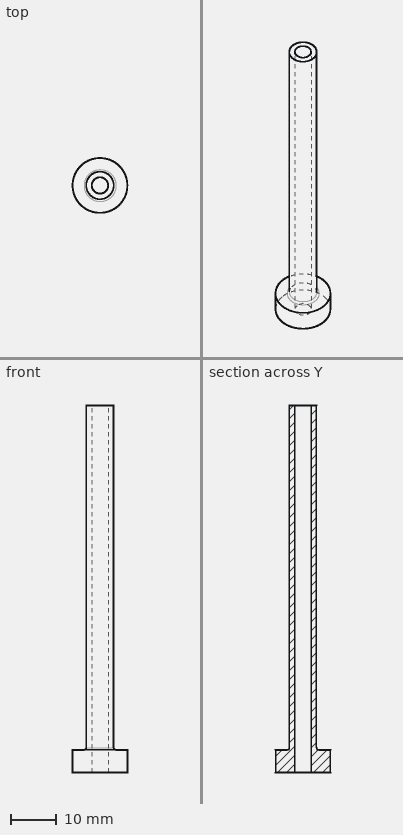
import cadquery as cq

total_length = 80.0
head_diameter = 12.0
head_height = 5.0
shank_diameter = 6.0
bore_diameter = 3.5
fillet_radius = 0.5

head_radius = head_diameter / 2
shank_radius = shank_diameter / 2

profile = (
    cq.Workplane("XZ")
    .lineTo(head_radius, 0)
    .lineTo(head_radius, head_height)
    .lineTo(shank_radius + fillet_radius, head_height)
    .radiusArc((shank_radius, head_height + fillet_radius), fillet_radius)
    .lineTo(shank_radius, total_length)
    .lineTo(0, total_length)
    .close()
)
body = profile.revolve(360, (0, 0, 0), (0, 1, 0))

bore = cq.Workplane("XY").circle(bore_diameter / 2).extrude(total_length)

result = body.cut(bore)